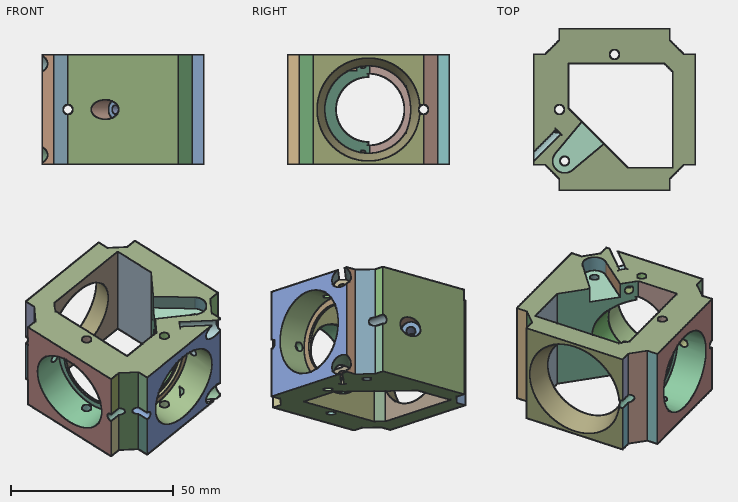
import cadquery as cq
import math

SIZE = 49.8
HEIGHT = 33.8
HALF = SIZE / 2
TOP = HEIGHT / 2
FACE_HALF = 17.05
NECK = 21.3

CAVITY_NEAR = 14.1
CAVITY_FAR = 17.9
CAVITY_CHAMFER = 2.5
MIRROR_SUM = -13.7

LENS_DIA = 26.3
LIP_DIA = 22.0
LIP_THICKNESS = 0.75
LIP_OVERRUN = 0.35
BEAM_DIA = 19.9
PORT_INNER_DIA = 26.9
PORT_OUTER_DIA = 31.65

SCREW_DIA = 2.9
SCREW_OFFSET = 16.95

HEAD_DIA = 6.0
SHANK_DIA = 2.8
SIDE_SCREW_TOP_Z = 14.1
SIDE_SCREW_BOTTOM_Z = -13.95
SIDE_HEAD_END = (-17.25, -6.85)
FRONT_HEAD_END = (-2.35, -21.7)

PIN_X, PIN_Y = -15.35, -15.85
PIN_DIA = 2.8
RECESS_RADIUS = 3.7
RECESS_MOUTH = 9.65
RECESS_DEPTH = 5.0

DIAGONAL = cq.Vector(1, 1, 0).normalized()


def cylinder(start, direction, length, diameter):
    solid = cq.Solid.makeCylinder(diameter / 2, length, cq.Vector(*start), cq.Vector(*direction))
    return cq.Workplane(obj=solid)


def prism(points, bottom, height):
    return cq.Workplane(origin=(0, 0, bottom)).polyline(points).close().extrude(height)


def block():
    corner = [(HALF, FACE_HALF), (NECK, FACE_HALF), (FACE_HALF, NECK), (FACE_HALF, HALF)]
    outline = []
    for turn in range(4):
        cos, sin = round(math.cos(turn * math.pi / 2)), round(math.sin(turn * math.pi / 2))
        outline += [(x * cos - y * sin, x * sin + y * cos) for x, y in corner]
    return prism(outline, -TOP, HEIGHT)


def cavity():
    outline = [
        (-CAVITY_NEAR, CAVITY_NEAR),
        (CAVITY_FAR - CAVITY_CHAMFER, CAVITY_NEAR),
        (CAVITY_FAR, CAVITY_NEAR - CAVITY_CHAMFER),
        (CAVITY_FAR, -CAVITY_FAR),
        (MIRROR_SUM + CAVITY_FAR, -CAVITY_FAR),
        (-CAVITY_NEAR, MIRROR_SUM + CAVITY_NEAR),
    ]
    return prism(outline, -TOP, HEIGHT)


def lens_bore(outward):
    """Lens seat with a thin retaining lip next to the cavity."""
    axis = cq.Vector(*outward)
    wall = HALF - CAVITY_NEAR
    start = (axis * HALF).toTuple()
    inward = (-axis).toTuple()
    seat = cylinder(start, inward, wall - LIP_THICKNESS, LENS_DIA)
    return seat.union(cylinder(start, inward, wall + LIP_OVERRUN, LIP_DIA))


def exit_port():
    """Conical port through the +X wall, continued inward through the cavity corner chamfer."""
    inner_radius = PORT_INNER_DIA / 2
    outer_radius = PORT_OUTER_DIA / 2
    slope = (outer_radius - inner_radius) / (HALF - CAVITY_FAR)
    length = HALF - CAVITY_FAR + CAVITY_CHAMFER
    start = cq.Vector(HALF - length, 0, 0)
    start_radius = outer_radius - slope * length
    cone = cq.Solid.makeCone(start_radius, outer_radius, length, start, cq.Vector(1, 0, 0))
    return cq.Workplane(obj=cone)


def diagonal_screw(head_end, z):
    """Counterbored hole running at 45 degrees through the mirror face."""
    end = cq.Vector(head_end[0], head_end[1], z)
    shank_length = (MIRROR_SUM - sum(head_end)) / math.sqrt(2)
    head = cylinder(end.toTuple(), (-DIAGONAL).toTuple(), HALF, HEAD_DIA)
    return head.union(cylinder(end.toTuple(), DIAGONAL.toTuple(), shank_length, SHANK_DIA))


def recess():
    length = (MIRROR_SUM - PIN_X - PIN_Y) / math.sqrt(2)
    half_mouth = RECESS_MOUTH / 2
    reach = math.hypot(length, half_mouth)
    tangent_angle = math.atan2(half_mouth, length) + math.acos(RECESS_RADIUS / reach)
    tangent_x = RECESS_RADIUS * math.cos(tangent_angle)
    tangent_y = RECESS_RADIUS * math.sin(tangent_angle)
    plane = cq.Plane(origin=(PIN_X, PIN_Y, TOP - RECESS_DEPTH), xDir=DIAGONAL, normal=(0, 0, 1))
    return (
        cq.Workplane(plane)
        .moveTo(length, half_mouth)
        .lineTo(tangent_x, tangent_y)
        .threePointArc((-RECESS_RADIUS, 0), (tangent_x, -tangent_y))
        .lineTo(length, -half_mouth)
        .close()
        .extrude(RECESS_DEPTH)
    )


result = block().cut(cavity())
result = result.cut(lens_bore((-1, 0, 0))).cut(lens_bore((0, 1, 0))).cut(exit_port())

result = result.cut(cylinder((-CAVITY_NEAR, 0, 0), (1, 0, 0), CAVITY_NEAR, BEAM_DIA))

result = result.cut(cylinder((-SCREW_OFFSET, 0, -TOP), (0, 0, 1), HEIGHT, SCREW_DIA))
result = result.cut(cylinder((-SCREW_OFFSET, -HALF, 0), (0, 1, 0), SIZE, SCREW_DIA))
result = result.cut(cylinder((0, SCREW_OFFSET, -TOP), (0, 0, 1), HEIGHT, SCREW_DIA))
result = result.cut(cylinder((-HALF, SCREW_OFFSET, 0), (1, 0, 0), SIZE, SCREW_DIA))

for z in (SIDE_SCREW_BOTTOM_Z, SIDE_SCREW_TOP_Z):
    result = result.cut(diagonal_screw(SIDE_HEAD_END, z))
result = result.cut(diagonal_screw(FRONT_HEAD_END, 0))

result = result.cut(recess())
result = result.cut(cylinder((PIN_X, PIN_Y, -TOP), (0, 0, 1), HEIGHT, PIN_DIA))